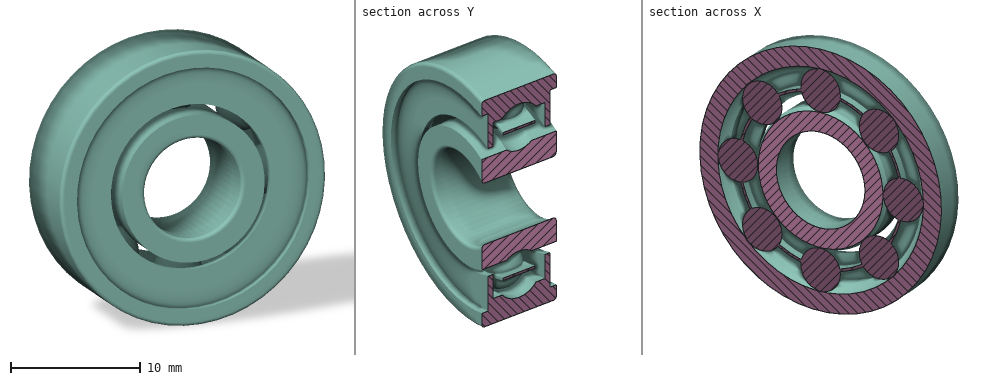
import cadquery as cq


WIDTH = 7.0
OUTER_RADIUS = 11.0
BORE_RADIUS = 4.0
CORNER_FILLET = 0.3

BALL_COUNT = 8
BALL_RADIUS = 1.98
PITCH_RADIUS = 7.5

INNER_SHOULDER_RADIUS = 5.9
OUTER_SHOULDER_RADIUS = 8.7

SHIELD_OUTER_RADIUS = 9.65
SHIELD_INNER_RADIUS = 6.6
SHIELD_RECESS = 0.6
SHIELD_THICKNESS = 0.5

CAGE_INNER_RADIUS = 7.25
CAGE_OUTER_RADIUS = PITCH_RADIUS
CAGE_WIDTH = 3.0

MID_PLANE = WIDTH / 2


def sleeve(inner_radius, outer_radius, width):
    """Plain ring about the X axis, centred on the bearing's mid-plane."""
    mean_radius = (inner_radius + outer_radius) / 2
    section = cq.Workplane("XZ").center(MID_PLANE, mean_radius).rect(width, outer_radius - inner_radius)
    return section.revolve(360, (0, -mean_radius), (1, -mean_radius))


def raceway():
    """Torus swept by the balls as they roll around the pitch circle."""
    centre = cq.Vector(MID_PLANE, 0, 0)
    axis = cq.Vector(1, 0, 0)
    return cq.Workplane(obj=cq.Solid.makeTorus(PITCH_RADIUS, BALL_RADIUS, centre, axis))


def make_inner_ring():
    """Ring with rounded bore edges and a ball groove in its outside."""
    ring = sleeve(BORE_RADIUS, INNER_SHOULDER_RADIUS, WIDTH)
    bore_edges = cq.selectors.RadiusNthSelector(0)
    return ring.edges(bore_edges).fillet(CORNER_FILLET).cut(raceway())


def make_outer_ring():
    """Ring with rounded outside edges, recessed shields, an inner cavity and a ball groove."""
    ring = sleeve(SHIELD_OUTER_RADIUS, OUTER_RADIUS, WIDTH)
    rim_edges = cq.selectors.RadiusNthSelector(-1)
    ring = ring.edges(rim_edges).fillet(CORNER_FILLET)

    shielded_width = WIDTH - 2 * SHIELD_RECESS
    cavity_width = shielded_width - 2 * SHIELD_THICKNESS
    shielded_core = sleeve(SHIELD_INNER_RADIUS, SHIELD_OUTER_RADIUS, shielded_width)
    cavity = sleeve(SHIELD_INNER_RADIUS, OUTER_SHOULDER_RADIUS, cavity_width)
    return ring.union(shielded_core.cut(cavity)).cut(raceway())


def make_ball_cage():
    """Cage sleeve carrying all the balls, as one solid."""
    cage = sleeve(CAGE_INNER_RADIUS, CAGE_OUTER_RADIUS, CAGE_WIDTH)
    top_ball = cq.Workplane("XY").sphere(BALL_RADIUS).translate((MID_PLANE, 0, PITCH_RADIUS))
    for index in range(BALL_COUNT):
        angle = index * 360 / BALL_COUNT
        cage = cage.union(top_ball.rotate((0, 0, 0), (1, 0, 0), angle))
    return cage


inner_ring = make_inner_ring().solids()
outer_ring = make_outer_ring().solids()
ball_cage = make_ball_cage().solids()

result = cq.Compound.makeCompound([inner_ring.val(), outer_ring.val(), ball_cage.val()])